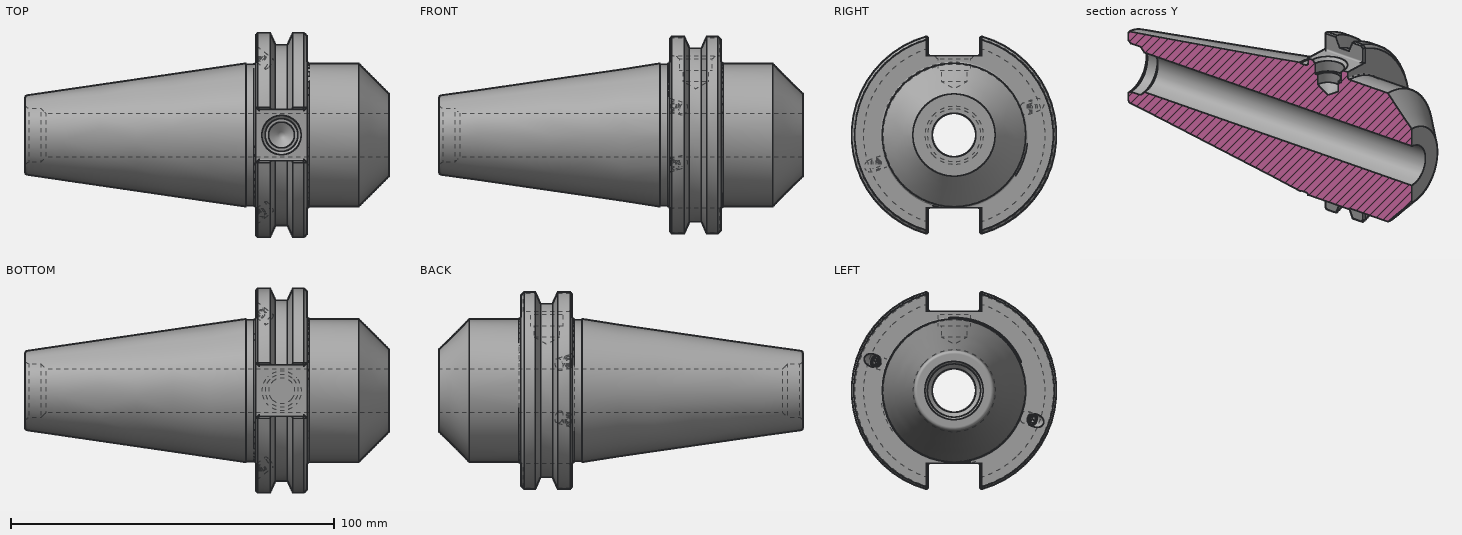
import cadquery as cq
import math

GAUGE_DIAMETER = 44.4
TAPER_LENGTH = 68.3
TAPER_RATE = 7 / 24
TIP_ROUND = 1.0
NECK_DIAMETER = 44.0
NECK_LENGTH = 3.2
ROOT_FILLET = 0.7

FLANGE_DIAMETER = 63.5
FLANGE_WIDTH = 15.9
FLANGE_FRONT_CHAMFER = 0.7
FLANGE_BACK_CHAMFER = 1.0
GROOVE_DIAMETER = 56.1
GROOVE_FLOOR_WIDTH = 3.7
GROOVE_MOUTH_WIDTH = 7.1

TOTAL_LENGTH = 112.7
NOSE_DIAMETER = GAUGE_DIAMETER
NOSE_CHAMFER = 9.5

BORE_DIAMETER = 13.4
COUNTERBORE_DIAMETER = 16.5
COUNTERBORE_DEPTH = 5.0
MOUTH_FLARE = 0.8
MOUTH_LENGTH = 1.1

SLOT_WIDTH = 16.0
SLOT_CHAMFER = 0.6
SLOT_CORNER_RADIUS = 0.6
TOP_SLOT_FLOOR = 24.6
BOTTOM_SLOT_FLOOR = 22.5

POCKET_DIAMETER = 10.1
POCKET_CHAMFER = 1.0
POCKET_DEPTH = 4.5
PILOT_DIAMETER = 8.0
PILOT_DEPTH = 7.9
DRILL_POINT_ANGLE = 120.0

COOLANT_DIAMETER = 4.0
COOLANT_RADIUS = 26.9
COOLANT_ANGLE = 20.3
COOLANT_SLANT = 40.0
COOLANT_COUNT = 2
SCREW_RECESS = 1.5
SCREW_LENGTH = 4.0
SCREW_FACE_DIAMETER = 3.3
SOCKET_ACROSS_FLATS = 2.0
SOCKET_DEPTH = 1.7
SOCKET_SIDES = 6

TOLERANCE = 0.01

FLANGE_FRONT = TAPER_LENGTH + NECK_LENGTH
FLANGE_BACK = FLANGE_FRONT + FLANGE_WIDTH
FLANGE_MIDDLE = (FLANGE_FRONT + FLANGE_BACK) / 2
FLANGE_RADIUS = FLANGE_DIAMETER / 2
NOSE_RADIUS = NOSE_DIAMETER / 2
GAUGE_RADIUS = GAUGE_DIAMETER / 2
NECK_RADIUS = NECK_DIAMETER / 2
TIP_RADIUS = (GAUGE_DIAMETER - TAPER_RATE * TAPER_LENGTH) / 2


def revolve_about_x(profile):
    return profile.close().revolve(360, (0, 0, 0), (1, 0, 0))


def make_shank():
    gauge_step = GAUGE_RADIUS - NECK_RADIUS
    shank = revolve_about_x(
        cq.Workplane("XY")
        .lineTo(0, TIP_RADIUS)
        .lineTo(TAPER_LENGTH, GAUGE_RADIUS)
        .lineTo(TAPER_LENGTH + gauge_step, NECK_RADIUS)
        .lineTo(FLANGE_FRONT, NECK_RADIUS)
        .lineTo(FLANGE_FRONT, 0)
    )
    return shank.faces("<X").edges().fillet(TIP_ROUND)


def make_flange():
    return revolve_about_x(
        cq.Workplane("XY")
        .moveTo(FLANGE_FRONT, 0)
        .lineTo(FLANGE_FRONT, FLANGE_RADIUS - FLANGE_FRONT_CHAMFER)
        .lineTo(FLANGE_FRONT + FLANGE_FRONT_CHAMFER, FLANGE_RADIUS)
        .lineTo(FLANGE_BACK - FLANGE_BACK_CHAMFER, FLANGE_RADIUS)
        .lineTo(FLANGE_BACK, FLANGE_RADIUS - FLANGE_BACK_CHAMFER)
        .lineTo(FLANGE_BACK, 0)
    )


def make_groove():
    groove_radius = GROOVE_DIAMETER / 2
    return revolve_about_x(
        cq.Workplane("XY")
        .moveTo(FLANGE_MIDDLE - GROOVE_MOUTH_WIDTH / 2, FLANGE_RADIUS)
        .lineTo(FLANGE_MIDDLE - GROOVE_FLOOR_WIDTH / 2, groove_radius)
        .lineTo(FLANGE_MIDDLE + GROOVE_FLOOR_WIDTH / 2, groove_radius)
        .lineTo(FLANGE_MIDDLE + GROOVE_MOUTH_WIDTH / 2, FLANGE_RADIUS)
    )


def make_nose():
    return revolve_about_x(
        cq.Workplane("XY")
        .moveTo(FLANGE_BACK, 0)
        .lineTo(FLANGE_BACK, NOSE_RADIUS)
        .lineTo(TOTAL_LENGTH - NOSE_CHAMFER, NOSE_RADIUS)
        .lineTo(TOTAL_LENGTH, NOSE_RADIUS - NOSE_CHAMFER)
        .lineTo(TOTAL_LENGTH, 0)
    )


def make_root_fillet(face_x, radius, outward):
    """Ring that rounds the corner between a cylinder and a flange face."""
    edge_x = face_x + outward * ROOT_FILLET
    middle = ROOT_FILLET * (1 - math.sin(math.pi / 4))
    return revolve_about_x(
        cq.Workplane("XY")
        .moveTo(edge_x, radius)
        .threePointArc((face_x + outward * middle, radius + middle), (face_x, radius + ROOT_FILLET))
        .lineTo(face_x, radius)
    )


def make_bore():
    bore_radius = BORE_DIAMETER / 2
    counterbore_radius = COUNTERBORE_DIAMETER / 2
    step = counterbore_radius - bore_radius
    return revolve_about_x(
        cq.Workplane("XY")
        .lineTo(0, counterbore_radius + MOUTH_FLARE)
        .lineTo(MOUTH_LENGTH, counterbore_radius)
        .lineTo(COUNTERBORE_DEPTH, counterbore_radius)
        .lineTo(COUNTERBORE_DEPTH + step, bore_radius)
        .lineTo(TOTAL_LENGTH, bore_radius)
        .lineTo(TOTAL_LENGTH, 0)
    )


def make_slot_cutter(floor):
    """Drive slot open towards +Z, long enough to cut through the root fillets on both flange faces."""
    length = FLANGE_WIDTH + 2 * ROOT_FILLET
    height = FLANGE_RADIUS - floor
    return cq.Workplane("XY").box(length, SLOT_WIDTH, height).translate((FLANGE_MIDDLE, 0, floor + height / 2))


def is_floor_corner(edge):
    """True for a slot edge that lies along X at the height of a slot floor."""
    spans = edge.BoundingBox()
    floors = (TOP_SLOT_FLOOR, -BOTTOM_SLOT_FLOOR)
    return spans.zlen < TOLERANCE and min(abs(spans.center.z - floor) for floor in floors) < TOLERANCE


def cut_drive_slots(body):
    """Cut both slots, bevel the edges of their walls and round their floor corners."""
    for floor, turn in ((TOP_SLOT_FLOOR, 0), (BOTTOM_SLOT_FLOOR, 180)):
        body = body.cut(make_slot_cutter(floor).rotate((0, 0, 0), (1, 0, 0), turn))
    mouth_edges = body.faces("|Y").edges().filter(lambda edge: not is_floor_corner(edge))
    body = mouth_edges.chamfer(SLOT_CHAMFER)
    return body.faces("|Y").edges().filter(is_floor_corner).fillet(SLOT_CORNER_RADIUS)


def make_pocket():
    """Stepped and countersunk hole with a drill point, lying along -Z."""
    pocket_radius = POCKET_DIAMETER / 2
    pilot_radius = PILOT_DIAMETER / 2
    point_length = pilot_radius / math.tan(math.radians(DRILL_POINT_ANGLE / 2))
    pocket = (
        cq.Workplane("XZ")
        .lineTo(pocket_radius + POCKET_CHAMFER, 0)
        .lineTo(pocket_radius, -POCKET_CHAMFER)
        .lineTo(pocket_radius, -POCKET_DEPTH)
        .lineTo(pilot_radius, -POCKET_DEPTH)
        .lineTo(pilot_radius, -PILOT_DEPTH)
        .lineTo(0, -PILOT_DEPTH - point_length)
        .close()
        .revolve(360, (0, 0, 0), (0, 1, 0))
    )
    return pocket.translate((FLANGE_MIDDLE, 0, TOP_SLOT_FLOOR))


def place_in_flange(body, index):
    """Move a body built along +X from the origin to a coolant hole mouth, leaning it towards the axis."""
    turn = COOLANT_ANGLE + index * 360 / COOLANT_COUNT
    return (
        body.rotate((0, 0, 0), (0, 0, 1), -COOLANT_SLANT)
        .translate((FLANGE_FRONT, COOLANT_RADIUS, 0))
        .rotate((0, 0, 0), (1, 0, 0), turn)
    )


def make_coolant_hole():
    """Blind hole that ends where its screw ends, extended outwards to clear the flange face."""
    overshoot = COOLANT_DIAMETER
    length = overshoot + SCREW_RECESS + SCREW_LENGTH
    return cq.Workplane("YZ", origin=(-overshoot, 0, 0)).circle(COOLANT_DIAMETER / 2).extrude(length)


def make_screw():
    socket_diameter = SOCKET_ACROSS_FLATS / math.cos(math.pi / SOCKET_SIDES)
    head = cq.Workplane("YZ", origin=(SCREW_RECESS, 0, 0))
    edge_chamfer = (COOLANT_DIAMETER - SCREW_FACE_DIAMETER) / 2
    screw = head.circle(COOLANT_DIAMETER / 2).extrude(SCREW_LENGTH).faces("<X").chamfer(edge_chamfer)
    return screw.cut(head.polygon(SOCKET_SIDES, socket_diameter).extrude(SOCKET_DEPTH))


def make_holder():
    holder = make_shank().union(make_flange()).union(make_nose())
    holder = holder.union(make_root_fillet(FLANGE_FRONT, NECK_RADIUS, -1))
    holder = holder.union(make_root_fillet(FLANGE_BACK, NOSE_RADIUS, 1))
    holder = cut_drive_slots(holder).cut(make_groove())
    holder = holder.cut(make_bore()).cut(make_pocket())
    for index in range(COOLANT_COUNT):
        holder = holder.cut(place_in_flange(make_coolant_hole(), index))
    return holder


holder = make_holder()
screws = [place_in_flange(make_screw(), index) for index in range(COOLANT_COUNT)]

result = cq.Compound.makeCompound([holder.val(), *[screw.val() for screw in screws]])